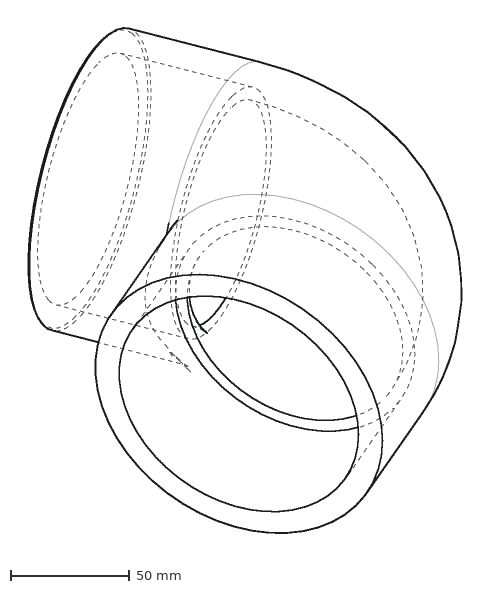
import cadquery as cq

outer_diameter = 132.0
socket_diameter = 110.0
bend_bore_diameter = 99.0
overall_length = 186.0
socket_length = 61.0
end_chamfer = 1.0

outer_radius = outer_diameter / 2
socket_radius = socket_diameter / 2
bend_bore_radius = bend_bore_diameter / 2
end_distance = overall_length - outer_radius
bend_radius = end_distance - socket_length
bend_angle = 90.0

x_end = cq.Plane(origin=(-end_distance, 0, 0), xDir=(0, 1, 0), normal=(1, 0, 0))
y_end = cq.Plane(origin=(0, -end_distance, 0), xDir=(1, 0, 0), normal=(0, 1, 0))

bend_start = cq.Plane(
    origin=(-bend_radius, -bend_radius, 0), xDir=(1, 0, 0), normal=(0, -1, 0)
)


def straight_cylinder(end_plane, radius):
    """Cylinder one socket deep, starting at an open end."""
    return cq.Workplane(end_plane).circle(radius).extrude(socket_length)


def outer_bend():
    """Outer bend; its section is cut off at the bend axis, which lies inside the circle."""
    axis_half_height = (outer_radius**2 - bend_radius**2) ** 0.5
    profile = (
        cq.Workplane(bend_start)
        .moveTo(0, -axis_half_height)
        .threePointArc((bend_radius + outer_radius, 0), (0, axis_half_height))
        .close()
    )
    bend = profile.revolve(bend_angle, (0, 0), (0, 1)).val()
    return cq.Workplane(bend.toNURBS())


def bend_bore():
    """Curved bore joining the two sockets."""
    profile = cq.Workplane(bend_start).center(bend_radius, 0).circle(bend_bore_radius)
    return profile.revolve(bend_angle, (-bend_radius, 0), (-bend_radius, 1))


x_collar = straight_cylinder(x_end, outer_radius).faces("<X").chamfer(end_chamfer)
y_collar = straight_cylinder(y_end, outer_radius)
body = outer_bend().union(x_collar).union(y_collar)

elbow = body.cut(bend_bore())
for end_plane in (x_end, y_end):
    elbow = elbow.cut(straight_cylinder(end_plane, socket_radius))

result = cq.Workplane(elbow.solids().val())